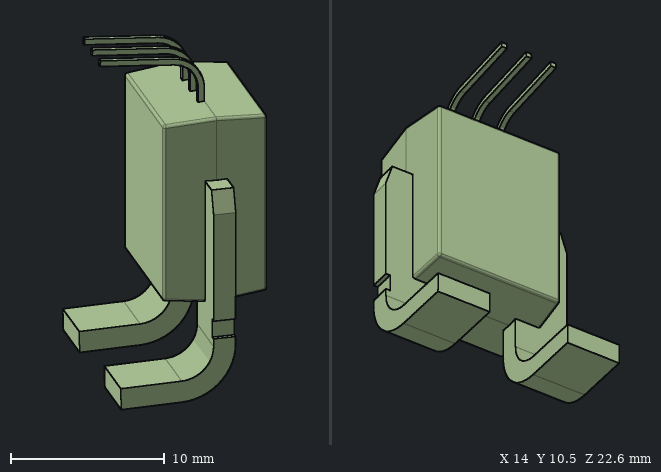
import cadquery as cq
import math

total_width = 14.0
total_height = 22.6

body_width = 10.0
body_depth = 7.0
body_bottom = 5.99
body_height = 13.0
draft_angle = 5.0
body_fillet = 0.2

tab_thickness = 1.5
tab_gap = 6.0
tab_top = 14.57
tab_inner_radius = 2.2
tab_turn = 89.0
tab_tip_y = -7.0
tab_chamfer_width = 0.5
tab_chamfer_height = 1.54
notch_bottom = 4.3
notch_height = 1.25
notch_depth = 0.32

pin_size = 0.4
pin_count = 3
pin_pitch = 1.9
pin_inner_radius = 1.83
pin_turn = 85.0
pin_tip_y = -7.03
pin_root = body_bottom + body_height / 2


def bent_strip(back_y, thickness, inner_radius, turn, tip_y, root_z, end_z, up, width):
    """Strip running along Z from root_z, bent towards -Y, centred on X = 0.

    up is 1 when the strip runs to +Z and -1 when it runs to -Z. end_z is the
    Z of the outer corner at the tip, tip_y the Y of the inner corner there.
    """
    outer_radius = inner_radius + thickness
    centre_y = back_y - outer_radius
    turn_rad = math.radians(turn)
    leg_y, leg_z = -math.sin(turn_rad), math.cos(turn_rad)
    bend_y, bend_z = math.cos(turn_rad), math.sin(turn_rad)
    leg_length = (tip_y - centre_y - inner_radius * bend_y) / leg_y
    centre_z = end_z - up * (outer_radius * bend_z + leg_length * leg_z)

    def on_arc(radius, angle):
        return centre_y + radius * math.cos(angle), centre_z + up * radius * math.sin(angle)

    def at_tip(radius):
        y, z = on_arc(radius, turn_rad)
        return y + leg_length * leg_y, z + up * leg_length * leg_z

    return (
        cq.Workplane("YZ")
        .moveTo(back_y, root_z)
        .lineTo(*on_arc(outer_radius, 0))
        .threePointArc(on_arc(outer_radius, turn_rad / 2), on_arc(outer_radius, turn_rad))
        .lineTo(*at_tip(outer_radius))
        .lineTo(*at_tip(inner_radius))
        .lineTo(*on_arc(inner_radius, turn_rad))
        .threePointArc(on_arc(inner_radius, turn_rad / 2), on_arc(inner_radius, 0))
        .lineTo(back_y - thickness, root_z)
        .close()
        .extrude(width / 2, both=True)
    )


def make_body():
    half = (
        cq.Workplane("XZ", origin=(0, 0, body_bottom + body_height / 2))
        .rect(body_width, body_height)
        .extrude(body_depth / 2, taper=draft_angle)
        .edges("not(>Y)")
        .fillet(body_fillet)
    )
    return half.union(half.mirror("XZ"))


def make_tabs():
    strip = bent_strip(tab_thickness / 2, tab_thickness, tab_inner_radius, tab_turn,
                       tab_tip_y, tab_top, 0, -1, total_width)
    gap_top = body_bottom + body_height / 2
    gap_depth = 2 * abs(tab_tip_y) + tab_thickness
    gap = cq.Workplane("XY").box(tab_gap, gap_depth, gap_top, centered=(True, True, False))
    tabs = strip.cut(gap)
    edge_x = total_width / 2
    for side in (-1, 1):
        corner = (
            cq.Workplane("XZ")
            .polyline([
                (side * edge_x, tab_top),
                (side * (edge_x - tab_chamfer_width), tab_top),
                (side * edge_x, tab_top - tab_chamfer_height),
            ])
            .close()
            .extrude(tab_thickness, both=True)
        )
        notch = (
            cq.Workplane("XY")
            .box(2 * notch_depth, 2 * tab_thickness, notch_height, centered=(True, True, False))
            .translate((side * edge_x, 0, notch_bottom))
        )
        tabs = tabs.cut(corner).cut(notch)
    return tabs


def make_pin():
    return bent_strip(0, pin_size, pin_inner_radius, pin_turn,
                      pin_tip_y, pin_root, total_height, 1, pin_size)


result = make_body().union(make_tabs())
for index in range(pin_count):
    pin_x = (index - (pin_count - 1) / 2) * pin_pitch
    result = result.union(make_pin().translate((pin_x, 0, 0)))